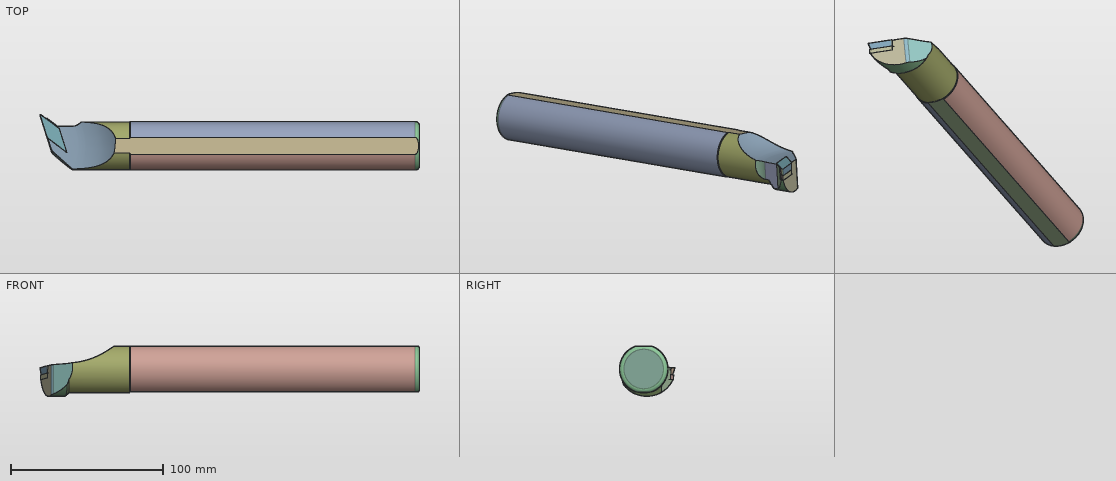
import cadquery as cq
import math


total_length = 249.28
shank_start = 59.0
shank_radius = 16.0
flat_height = 15.0
end_fillet = 3.0
neck_radius = 15.75
neck_start = 19.2
step_length = 0.6

head_bottom = -18.0
head_radius = 19.0
head_centre_y = 2.0
head_taper_length = 2.8
head_taper_rise = 2.4
head_overrun = 10.0

rake_tilt = 5.0
rake_height = 2.6

insert_side = 16.606
insert_angle = 35.0
lead_angle = 17.5
insert_thickness = 4.76
insert_clearance = 5.0
nose_radius = 0.4
insert_tip_x = -0.363
insert_tip_y = 21.4
shim_thickness = 3.18
seat_depth = insert_thickness + shim_thickness

front_setback = 0.5
front_corner_y = -3.2
front_corner_radius = 5.0
side_chamfer_angle = 42.0
back_relief_y = 13.0
back_relief_offset = 0.55
back_relief_end = 21.5
back_relief_radius = 7.0
seat_wall_x = 4.7

gullet_axis_x = -5.0
gullet_start = 20.5
gullet_radius = 40.0
gullet_end_angle = 50.0

reach = 60.0


def rake_plane(depth=0.0):
    """Workplane in the rake plane, or parallel to it at a depth below."""
    tilt = math.radians(rake_tilt)
    normal = cq.Vector(0, math.sin(tilt), math.cos(tilt))
    origin = cq.Vector(0, 0, rake_height) - normal * depth
    return cq.Workplane(cq.Plane(origin=origin, xDir=(1, 0, 0), normal=normal))


def direction(angle_from_y):
    """Unit step toward -Y, swung toward +X by the given angle."""
    angle = math.radians(angle_from_y)
    return math.sin(angle), -math.cos(angle)


front_dir = direction(lead_angle)
back_dir = direction(lead_angle + insert_angle)


def rhombus(inset=0.0):
    """Corners of the insert outline, every side moved inward by the inset."""
    side = insert_side - 2 * inset / math.sin(math.radians(insert_angle))
    shift = inset / math.sin(math.radians(insert_angle))
    tip_x = insert_tip_x + shift * (front_dir[0] + back_dir[0])
    tip_y = insert_tip_y + shift * (front_dir[1] + back_dir[1])
    front = (tip_x + side * front_dir[0], tip_y + side * front_dir[1])
    back = (tip_x + side * back_dir[0], tip_y + side * back_dir[1])
    inner = (front[0] + side * back_dir[0], front[1] + side * back_dir[1])
    return [(tip_x, tip_y), front, inner, back]


def tapered_rhombus(top_depth, bottom_depth, corner_radius=0.0):
    """Rhombus between two depths, narrowing downward by the insert clearance angle."""
    wires = []
    for depth in (top_depth, bottom_depth):
        inset = depth * math.tan(math.radians(insert_clearance))
        outline = rake_plane(depth).polyline(rhombus(inset + corner_radius)).close()
        if corner_radius > 0:
            outline = outline.offset2D(corner_radius)
        wires.append(outline.wires().val())
    return cq.Workplane(cq.Solid.makeLoft(wires, True))


def make_insert():
    """Insert with rounded corners, its top lying in the rake plane."""
    return tapered_rhombus(0, insert_thickness, nose_radius)


def make_shank():
    """Round shank with flats on top and bottom and a rounded rear end."""
    step = shank_radius - neck_radius
    flats = cq.Workplane("XY").box(3 * total_length, reach, 2 * flat_height)
    return (
        cq.Workplane("YZ").workplane(offset=shank_start)
        .circle(shank_radius).extrude(total_length - shank_start)
        .faces("<X").edges().chamfer(step_length, step)
        .faces(">X").edges().fillet(end_fillet)
        .intersect(flats)
    )


def head_outline():
    """Prism normal to the rake plane that bounds the head and neck."""
    front_slope = math.tan(math.radians(lead_angle))
    back_slope = 1 / math.tan(math.radians(lead_angle + insert_angle))
    chamfer_slope = math.tan(math.radians(side_chamfer_angle))

    front_setback_x = front_setback / math.cos(math.radians(lead_angle))
    front_x = insert_tip_x + front_setback_x + front_slope * insert_tip_y
    corner_x = front_x - front_slope * front_corner_y

    back_offset_y = back_relief_offset / math.sin(math.radians(lead_angle + insert_angle))
    back_y = insert_tip_y + back_offset_y + back_slope * insert_tip_x
    relief_start = (back_y - back_relief_y) / back_slope

    nose_x = (front_x - front_slope * back_y) / (1 - front_slope * back_slope)
    nose_y = back_y - back_slope * nose_x

    outer_y = back_relief_y + back_relief_radius
    chamfer_end_x = corner_x + (outer_y + front_corner_y) / chamfer_slope
    outline = (
        rake_plane(reach)
        .moveTo(nose_x, nose_y)
        .lineTo(corner_x, front_corner_y)
        .lineTo(chamfer_end_x, -outer_y)
        .lineTo(shank_start + reach, -outer_y)
        .lineTo(shank_start + reach, outer_y)
        .lineTo(back_relief_end + back_relief_radius, outer_y)
        .radiusArc((back_relief_end, back_relief_y), back_relief_radius)
        .lineTo(relief_start, back_relief_y)
        .close()
        .extrude(2 * reach)
    )
    corner = cq.selectors.NearestToPointSelector((corner_x, front_corner_y, rake_height))
    return outline.edges(corner).fillet(front_corner_radius)


def head_and_neck():
    """Neck and eccentric head, flat on top and trimmed to the head outline."""
    neck = (
        cq.Workplane("YZ").workplane(offset=-head_overrun)
        .circle(neck_radius).extrude(shank_start + head_overrun)
    )
    head = (
        cq.Workplane("YZ").workplane(offset=-head_overrun)
        .center(head_centre_y, head_bottom + head_radius)
        .circle(head_radius).extrude(neck_start + head_overrun)
    )
    front_x = -head_overrun
    front_radius = neck_radius + (neck_start - front_x) * head_taper_rise / head_taper_length
    taper_cone = (
        cq.Workplane("XY")
        .moveTo(neck_start, 0)
        .lineTo(neck_start, neck_radius)
        .lineTo(front_x, front_radius)
        .lineTo(front_x, 0)
        .close()
        .revolve(360, (0, 0, 0), (1, 0, 0))
    )
    below_flat = (
        cq.Workplane("XY").box(2 * total_length, reach, reach)
        .translate((0, 0, flat_height - reach / 2))
    )
    return neck.union(head.intersect(taper_cone)).intersect(below_flat).intersect(head_outline())


def gullet():
    """Clears everything above the rake plane and rises out of the bar in a concave curve."""
    end_angle = math.radians(gullet_end_angle)
    flat_radius = gullet_start - gullet_axis_x
    rim_radius = flat_radius + gullet_radius * math.sin(end_angle)
    rim_height = gullet_radius * (1 - math.cos(end_angle))
    return (
        cq.Workplane("XZ")
        .spline(
            [(0, 0), (flat_radius, 0), (rim_radius, rim_height)],
            tangents=[(1, 0), (1, 0), (math.cos(end_angle), math.sin(end_angle))],
        )
        .lineTo(0, rim_height).close()
        .revolve(360, (0, 0, 0), (0, 1, 0))
        .translate((gullet_axis_x, 0, 0))
        .rotate((0, 0, 0), (1, 0, 0), -rake_tilt)
        .translate((0, 0, rake_height))
    )


def seat_front():
    """Clears the bar in front of the seat wall, down to the foot of the shim."""
    front_corner_of_insert = rhombus()[1]
    wall_start_y = front_corner_of_insert[1]
    return (
        rake_plane(seat_depth)
        .moveTo(seat_wall_x, wall_start_y)
        .lineTo(seat_wall_x, reach)
        .lineTo(-reach, reach)
        .lineTo(-reach, wall_start_y)
        .close()
        .extrude(seat_depth)
    )


def shim():
    """Raised seat under the insert, matching the insert's underside."""
    inset = insert_thickness * math.tan(math.radians(insert_clearance))
    return rake_plane(seat_depth).polyline(rhombus(inset)).close().extrude(shim_thickness)


def make_bar():
    """Shank, neck and head in one piece, with the gullet and the insert pocket."""
    pocket = tapered_rhombus(0, insert_thickness)
    blank = make_shank().union(head_and_neck())
    return blank.cut(gullet()).cut(seat_front()).cut(pocket).union(shim())


bar = make_bar()
insert = make_insert()
result = cq.Compound.makeCompound([bar.val(), insert.val()])